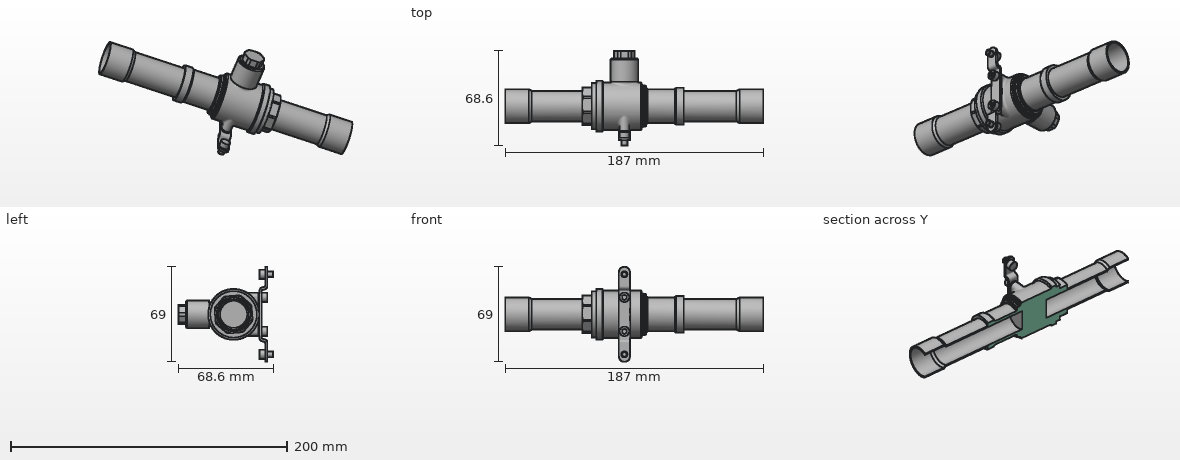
import cadquery as cq
import math

LENGTH = 187.0
LEFT_END = -86.4
RIGHT_END = LEFT_END + LENGTH

PIPE_DIA = 22.3
PIPE_BORE = 19.6
SOCKET_DIA = 24.7
SOCKET_BORE = 22.3
SOCKET_LENGTH = 17.2
SOCKET_TAPER = 2.2
CLOSED_BALL_HALF = 11.2

NUT_START = -30.5
NUT_FLATS = 27.0
NUT_CORNER_DIA = 28.6
NUT_CORNER_CHAMFER = 0.5
NUT_TURN = 18.0

CAP_START = -23.7
CAP_DIA = 33.7
RIM_START = -20.4
RIM_END = -16.0
RIM_DIA = 37.0
BODY_START = -15.1
BODY_DIA = 34.6
BODY_END = 12.7
BODY_CHAMFER = 1.0
RING_START = 13.7
RING_FOOT_DIA = 31.0
RING_EDGE = 14.5
RING_END = 15.9
RING_DIA = 30.1
RING_END_DIA = 28.8
NECK_END = 16.8
NECK_DIA = 26.0
COLLAR_START = 36.3
COLLAR_END = 43.0
COLLAR_DIA = 27.0
COLLAR_CHAMFER = 1.1

STEM_NECK_DIA = 17.2
STEM_NECK_FILLET = 1.9
STEM_CAP_START = 17.8
STEM_CAP_END = 34.6
STEM_CAP_DIA = 20.2
STEM_CAP_CHAMFER = 1.0
STEM_HEX_END = 40.0
STEM_HEX_FLATS = 14.2
STEM_HEX_CORNER_DIA = 15.1

PAD_WIDTH = 7.0
PAD_FACE = -17.8
PAD_FILLET = 1.9
PAD_LIP_INSET = 0.2
SCREW_Z = 12.3
BRACKET_BACK = -18.7
BRACKET_THICKNESS = 1.7
BRACKET_OFFSET = 4.1
BRACKET_WIDTH = 8.2
BRACKET_HEIGHT = 69.0
BEND_Z = 19.0
BEND_RISE = 1.1
BEND_DROP = 1.7
BEND_OUTER_RADIUS = 2.5
BEND_INNER_RADIUS = BEND_OUTER_RADIUS - BRACKET_THICKNESS

HEAD_DIA = 7.0
HEAD_HEIGHT = 4.1
HEX_KEY_CORNERS = 4.0
HEX_KEY_DEPTH = 1.9
STUD_Z = 29.0
STUD_DIA = 4.5
STUD_TIP = -28.6
STUD_HOLE_DIA = 3.4


def y_plane(y):
    """Sketch plane facing -Y at the given Y."""
    return cq.Workplane("XZ", origin=(0, y, 0))


def rod(dia, y_from, y_to, z=0):
    """Round rod along Y, from the larger Y to the smaller."""
    return y_plane(y_from).center(0, z).circle(dia / 2).extrude(y_from - y_to)


def revolve_x(points):
    """Solid of revolution about X from (x, diameter) points."""
    profile = [(x, dia / 2) for x, dia in points]
    closed = [(profile[0][0], 0)] + profile + [(profile[-1][0], 0)]
    return cq.Workplane("XY").polyline(closed).close().revolve(360, (0, 0, 0), (1, 0, 0))


def polygon_bar(plane, sides, flats, corner_dia, length, turn):
    """Regular bar whose corners are turned down to corner_dia."""
    full_corners = flats / math.cos(math.pi / sides)
    bar = plane.transformed(rotate=(0, 0, turn)).polygon(sides, full_corners).extrude(length)
    return bar.intersect(plane.circle(corner_dia / 2).extrude(length))


def pipe_and_body():
    """Solid outside shape of the pipes and the valve body."""
    return revolve_x([
        (LEFT_END, SOCKET_DIA),
        (LEFT_END + SOCKET_LENGTH, SOCKET_DIA),
        (LEFT_END + SOCKET_LENGTH + SOCKET_TAPER, PIPE_DIA),
        (CAP_START, PIPE_DIA),
        (CAP_START, CAP_DIA),
        (RIM_START, CAP_DIA),
        (RIM_START, RIM_DIA),
        (RIM_END, RIM_DIA),
        (BODY_START, BODY_DIA),
        (BODY_END - BODY_CHAMFER, BODY_DIA),
        (BODY_END, BODY_DIA - 2 * BODY_CHAMFER),
        (BODY_END, RING_FOOT_DIA),
        (RING_START, RING_DIA),
        (RING_EDGE, RING_DIA),
        (RING_END, RING_END_DIA),
        (RING_END, NECK_DIA),
        (NECK_END, SOCKET_DIA),
        (COLLAR_START, SOCKET_DIA),
        (COLLAR_START + COLLAR_CHAMFER, COLLAR_DIA),
        (COLLAR_END, COLLAR_DIA),
        (COLLAR_END, PIPE_DIA),
        (RIGHT_END - SOCKET_LENGTH - SOCKET_TAPER, PIPE_DIA),
        (RIGHT_END - SOCKET_LENGTH, SOCKET_DIA),
        (RIGHT_END, SOCKET_DIA),
    ])


def nut():
    """Octagonal nut with its outer corners bevelled."""
    length = CAP_START - NUT_START
    plane = cq.Workplane("YZ", origin=(NUT_START, 0, 0))
    bar = polygon_bar(plane, 8, NUT_FLATS, NUT_CORNER_DIA, length, NUT_TURN)
    bevel = plane.circle(NUT_CORNER_DIA / 2).extrude(length).faces("<X").chamfer(NUT_CORNER_CHAMFER)
    return bar.intersect(bevel)


def bore(end, inward):
    """Stepped bore from a pipe end to the ball; inward is the X direction into the pipe."""
    return revolve_x([
        (end, SOCKET_BORE),
        (end + inward * SOCKET_LENGTH, SOCKET_BORE),
        (end + inward * (SOCKET_LENGTH + SOCKET_TAPER), PIPE_BORE),
        (-inward * CLOSED_BALL_HALF, PIPE_BORE),
    ])


def slot_pad(width, y_to):
    """Slot-shaped pad from the stem axis plane out to y_to, rounded about both screws."""
    return y_plane(0).slot2D(2 * SCREW_Z + width, width, 90).extrude(-y_to)


def blend_to_body(body, feature, side, radius):
    """Join a feature on the +Y or -Y side (side 1 or -1) to the body and round the seam."""
    joined = body.union(feature)
    seam_end = side * BODY_DIA / 2
    seam_start = side * BODY_DIA / 8
    x_reach = STEM_CAP_DIA / 2
    seam = cq.selectors.BoxSelector((-x_reach, seam_start, -BODY_DIA), (x_reach, seam_end, BODY_DIA))
    return joined.edges(seam).fillet(radius)


def stem_cap():
    """Round cap over the stem, topped by a hexagonal grip."""
    cap = rod(STEM_CAP_DIA, STEM_CAP_END, STEM_CAP_START)
    cap = cap.faces(">Y").chamfer(STEM_CAP_CHAMFER)
    grip_length = STEM_HEX_END - STEM_CAP_END
    grip = polygon_bar(y_plane(STEM_HEX_END), 6, STEM_HEX_FLATS, STEM_HEX_CORNER_DIA, grip_length, 0)
    return cap.union(grip)


def bracket():
    """Strip with an S-bend at each end of its middle, and fully rounded tips."""
    back = BRACKET_BACK
    front = back - BRACKET_THICKNESS
    tip_back = back - BRACKET_OFFSET
    tip_front = front - BRACKET_OFFSET
    top = BRACKET_HEIGHT / 2
    front_corner_z = BEND_Z + BEND_RISE - BEND_DROP
    upper = [
        (back, BEND_Z),
        (tip_back, BEND_Z + BEND_RISE),
        (tip_back, top),
        (tip_front, top),
        (tip_front, front_corner_z),
        (front, BEND_Z - BEND_DROP),
    ]
    lower = [(y, -z) for y, z in reversed(upper)]
    strip = cq.Workplane("YZ").polyline(upper + lower).close().extrude(BRACKET_WIDTH / 2, both=True)
    bends = [
        (back, BEND_Z, BEND_OUTER_RADIUS),
        (tip_back, BEND_Z + BEND_RISE, BEND_INNER_RADIUS),
        (tip_front, front_corner_z, BEND_OUTER_RADIUS),
        (front, BEND_Z - BEND_DROP, BEND_INNER_RADIUS),
    ]
    for y, z, radius in bends:
        for end in (1, -1):
            corner = cq.selectors.NearestToPointSelector((0, y, end * z))
            strip = strip.edges("|X").edges(corner).fillet(radius)
    outline = y_plane(0).slot2D(BRACKET_HEIGHT, BRACKET_WIDTH, 90).extrude(-tip_front)
    return strip.intersect(outline)


def screw_head(z):
    """Round head on the bracket front with a hexagonal key socket."""
    seat = BRACKET_BACK - BRACKET_THICKNESS
    tip = seat - HEAD_HEIGHT
    key = y_plane(tip + HEX_KEY_DEPTH).center(0, z).transformed(rotate=(0, 0, 90))
    key = key.polygon(6, HEX_KEY_CORNERS).extrude(HEX_KEY_DEPTH)
    return rod(HEAD_DIA, seat, tip, z).cut(key)


def stud(z):
    """Stud through the bracket tip, hollow in front of it, with a round nut behind."""
    tip_front = BRACKET_BACK - BRACKET_THICKNESS - BRACKET_OFFSET
    round_nut = rod(HEAD_DIA, BRACKET_BACK, BRACKET_BACK - BRACKET_OFFSET, z)
    hole = rod(STUD_HOLE_DIA, tip_front, STUD_TIP, z)
    return round_nut.union(rod(STUD_DIA, BRACKET_BACK, STUD_TIP, z)).cut(hole)


valve = pipe_and_body()
stem_neck = rod(STEM_NECK_DIA, STEM_CAP_START + STEM_NECK_FILLET, 0)
valve = blend_to_body(valve, stem_neck, 1, STEM_NECK_FILLET)

overlong_pad = slot_pad(PAD_WIDTH, PAD_FACE - 2 * PAD_FILLET)
valve = blend_to_body(valve, overlong_pad, -1, PAD_FILLET)
valve = valve.cut(y_plane(PAD_FACE).rect(2 * PAD_WIDTH, RIM_DIA).extrude(3 * PAD_FILLET))

valve = valve.union(nut())
valve = valve.union(stem_cap())
valve = valve.cut(bore(LEFT_END, 1)).cut(bore(RIGHT_END, -1))

valve = valve.union(slot_pad(PAD_WIDTH - 2 * PAD_LIP_INSET, BRACKET_BACK))
valve = valve.union(bracket())
for side in (1, -1):
    valve = valve.union(screw_head(side * SCREW_Z))
    valve = valve.union(stud(side * STUD_Z))

result = valve